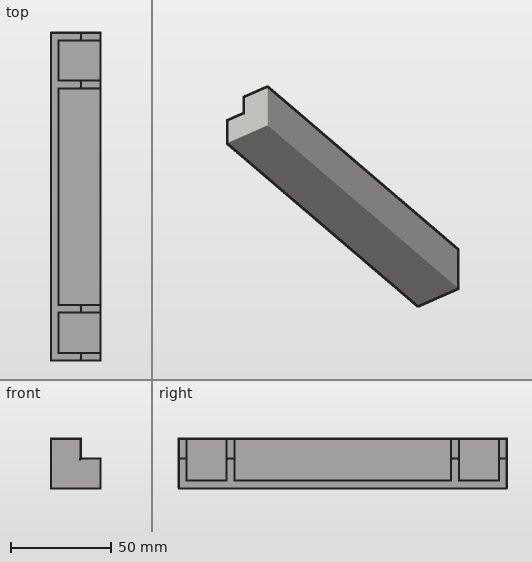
import cadquery as cq

length = 164.0
depth = 25.0
height = 25.0
wall = 4.0
floor = wall
rib_thickness = 4.0
rib_pitch = 24.0
tall_rib_depth = 15.1
step_height = 15.1
outer_radius = 0.5
step_radius = 0.57
selection_margin = 0.2

end_rib_y = (length - rib_thickness) / 2
inner_rib_y = end_rib_y - rib_pitch
rib_centres = [-end_rib_y, -inner_rib_y, inner_rib_y, end_rib_y]


def block(x_size, y_size, z_size):
    """Block with its back face at X = 0 and its base at Z = 0, centred in Y."""
    return cq.Workplane("XY").box(x_size, y_size, z_size, centered=(False, True, False))


def make_channel():
    """Back wall and floor, forming an L section along the bar."""
    back_wall = block(wall, length, height)
    return back_wall.union(block(depth, length, floor))


def make_rib():
    """Cross rib stepped down at the front, with rounded step edges."""
    step_gap = block(depth - tall_rib_depth, rib_thickness, height - step_height)
    rib = block(depth, rib_thickness, height).cut(
        step_gap.translate((tall_rib_depth, 0, step_height))
    )
    step_region = cq.selectors.BoxSelector(
        (tall_rib_depth - selection_margin, -rib_thickness, step_height - selection_margin),
        (depth, rib_thickness, height),
    )
    return rib.edges("|X or |Z").edges(step_region).fillet(step_radius)


def round_outside(body):
    """Round the upright back corners and the back and end edges of the base."""
    outer_edges = body.edges("(<X and |Z) or (<Z and |Y and <X) or (<Z and |X)")
    return outer_edges.fillet(outer_radius)


body = make_channel()
rib = make_rib()
for rib_y in rib_centres:
    body = body.union(rib.translate((0, rib_y, 0)))

result = round_outside(body)